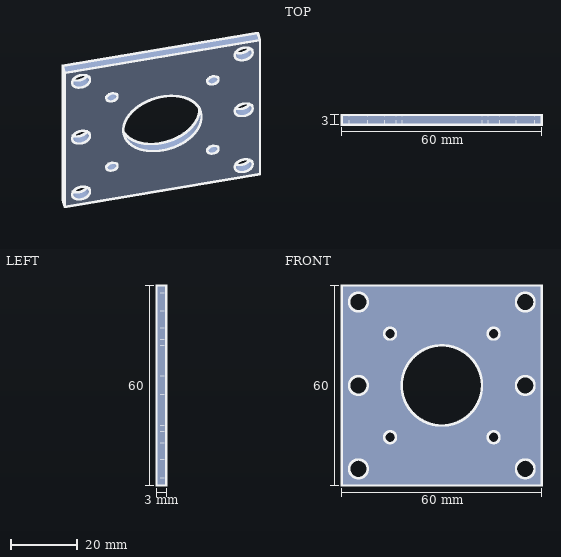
import cadquery as cq

plate_side = 60
plate_thickness = 3

bore_diameter = 24

small_hole_diameter = 3.5
small_hole_spacing = 31.0

edge_hole_diameter = 5.5
edge_hole_span = 50.0
edge_column_count = 2
edge_row_count = 3
edge_row_pitch = edge_hole_span / (edge_row_count - 1)

plate = cq.Workplane("XY").box(plate_side, plate_thickness, plate_side)

plate = plate.faces("<Y").workplane(centerOption="CenterOfBoundBox").hole(bore_diameter)
plate = (
    plate.faces("<Y")
    .workplane(centerOption="CenterOfBoundBox")
    .rarray(small_hole_spacing, small_hole_spacing, 2, 2)
    .hole(small_hole_diameter)
)
plate = (
    plate.faces("<Y")
    .workplane(centerOption="CenterOfBoundBox")
    .rarray(edge_hole_span, edge_row_pitch, edge_column_count, edge_row_count)
    .hole(edge_hole_diameter)
)

result = plate